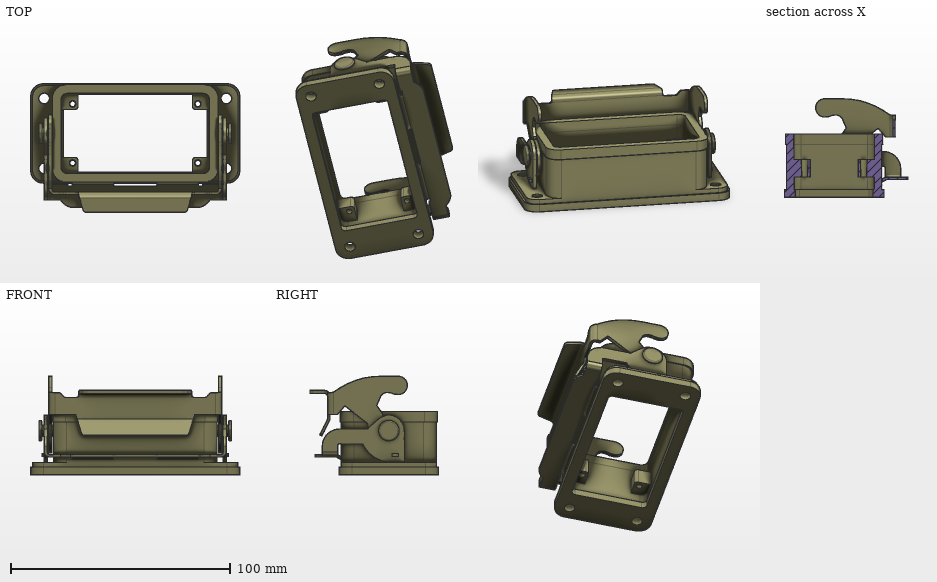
import cadquery as cq
import math

flange_length = 95.5
flange_width = 45.5
flange_height = 3.5
corner_radius = 6.0
step_inset = 1.0
step_top = 5.6
body_length = 74.7
body_width = 43.55
collar_length = 75.4
collar_width = 44.4
collar_bottom = 24.2
housing_top = 28.9

cavity_length = 67.8
cavity_width = 36.7
cavity_radius = 3.15
draft_run = 0.2
window_length = 65.3
window_width = 35.3
window_radius = 1.9
sill_height = flange_height
wall_middle_x = (cavity_length + body_length) / 4

post_inner_x = 26.1
post_inner_y = 10.9
post_bottom = 9.3
post_top = 17.3
post_radius = 1.4
post_hole_x = 28.6
post_hole_y = 13.5
post_hole_top_diameter = 3.1
post_hole_bottom_diameter = 2.5

mount_hole_x = 41.5
mount_hole_y = 15.95
mount_hole_diameter = 4.8

pivot_z = 20.15
rivet_radius = 2.6
rivet_head_radius = 4.7
rivet_head_thickness = 1.3
rivet_head_round = 0.6
rivet_end_x = 43.9

cheek_outer_x = 41.5
side_thickness = 1.5
cheek_back_y = 7.1
cheek_bottom = 5.8
cheek_corner_radius = 0.9
cheek_sweep_radius = 14.0
cheek_sweep_y = 1.0
arm_bottom = 14.1
arm_top = 20.9
arm_root_y = -9.9
leg_back_y = -23.2
leg_front_y = -30.4
leg_round = 7.9
leg_corner_radius = 0.7
plate_top = 9.2
plate_thickness = 1.1
plate_front_y = -33.7
bend_outer_radius = 2.8
bend_inner_radius = 1.2
apron_root_x = 34.1
apron_front_x = 29.6
apron_middle = (32.2, -32.4)
relief_depth = 0.9
relief_radius = 0.8
relief_outer_x = 30.75
tab_outer_x = 28.7
tab_inner_x = 9.8
tab_root_y = -23.9
tab_end_y = -22.0
tab_end_top = 8.5
tab_end_bottom = 7.1
peg_front_y = 1.4
peg_back_y = 4.4
peg_bottom = 8.4
peg_top = 9.7
peg_end_x = 42.5
peg_round = 0.6

lever_outer_x = 39.4
web_front_y = -27.9
web_thickness = 1.1
web_bottom = 27.4
web_top = 37.4
lever_top = 45.0
nose_radius = 4.2
nose_y = 4.3
back_arc_start_y = -4.0
back_arc_end_y = -22.0
back_arc_radius = 33.9
side_front_y = -25.2
side_front_z = 37.7
side_foot_y = -23.5
crotch_y = -20.1
crotch_z = 31.4
crotch_radius = 0.5
hub_neck_front_z = 23.2
hub_y = -1.1
hub_z = 18.3
hub_radius = 8.3
hub_neck_back_y = -2.9
hub_neck_top = 27.9
hook_tip = (-5.4, 31.6)
hook_back = (-3.7, 35.7)
hook_back_middle = (-2.4, 37.1)
hook_crown = (0.0, 37.4)
hook_front_middle = (1.1, 37.2)
hook_front = (2.3, 36.8)
notch_flare_x = 35.7
notch_outer_x = 34.2
notch_floor_x = 32.4
notch_inner_x = 25.8
notch_floor = 35.3
notch_radius = 1.1
upper_flap_top = 38.6
upper_flap_thickness = 1.5
upper_flap_front_y = -36.0
upper_flap_tip_x = 23.6
lower_flap_root_x = 27.1
lower_flap_tip_x = 24.1
lower_flap_bend_z = 25.5
lower_flap_tip_y = -31.5
lower_flap_tip_z = 18.2
upper_fold_inner_radius = 1.6
upper_fold_outer_radius = 2.8
flap_corner_radius = 1.7


def block(length, width, bottom, top, radius):
    """Centred block with rounded upright edges."""
    height = top - bottom
    solid = cq.Workplane("XY").workplane(offset=bottom).rect(length, width).extrude(height)
    return solid.edges("|Z").fillet(radius)


def along_x(outline, x_start, x_end):
    """Extrude a closed YZ outline from x_start to x_end."""
    return outline.extrude(x_end - x_start).translate((x_start, 0, 0))


def both_ends(solid):
    """Add the mirror image on the +X end."""
    return solid.union(solid.mirror("YZ"))


def make_housing():
    flange = block(flange_length, flange_width, 0, flange_height, corner_radius)
    step = block(flange_length - 2 * step_inset, body_width, 0, step_top, corner_radius - step_inset)
    body = block(body_length, body_width, 0, housing_top, corner_radius)
    collar = block(collar_length, collar_width, collar_bottom, housing_top, corner_radius)
    housing = flange.union(step).union(body).union(collar)

    upper = block(cavity_length, cavity_width, collar_bottom, housing_top, cavity_radius)
    depth = collar_bottom - sill_height
    draft_angle = math.degrees(math.atan(draft_run / depth))
    lower = upper.faces("<Z").wires().toPending().workplane(origin=(0, 0, collar_bottom))
    lower = lower.extrude(depth, taper=draft_angle, combine=False)
    window = block(window_length, window_width, 0, sill_height, window_radius)
    housing = housing.cut(upper).cut(lower).cut(window)

    mount_holes = (
        cq.Workplane("XY")
        .rect(2 * mount_hole_x, 2 * mount_hole_y, forConstruction=True)
        .vertices()
        .circle(mount_hole_diameter / 2)
        .extrude(step_top)
    )
    housing = housing.cut(mount_holes)
    for x_side in (-1, 1):
        for y_side in (-1, 1):
            housing = housing.union(make_post(x_side, y_side))
    return housing


def make_post(x_side, y_side):
    """Screw post standing off one cavity corner, buried into both walls."""
    outer_x = wall_middle_x
    outer_y = (cavity_width + body_width) / 4
    post = (
        cq.Workplane("XY")
        .box(outer_x - post_inner_x, outer_y - post_inner_y, post_top - post_bottom, centered=False)
        .translate((post_inner_x, post_inner_y, post_bottom))
        .edges("|Z and <X and <Y")
        .fillet(post_radius)
    )
    post = post.edges("|Z and >X and >Y").fillet(cavity_radius)
    screw_hole = (
        cq.Workplane("XY")
        .workplane(offset=post_bottom)
        .center(post_hole_x, post_hole_y)
        .circle(post_hole_bottom_diameter / 2)
        .workplane(offset=post_top - post_bottom)
        .circle(post_hole_top_diameter / 2)
        .loft()
    )
    post = post.cut(screw_hole)
    if x_side < 0:
        post = post.mirror("YZ")
    if y_side < 0:
        post = post.mirror("XZ")
    return post


def make_rivets():
    shank = cq.Workplane("YZ").center(0, pivot_z).circle(rivet_radius)
    shank = along_x(shank, -rivet_end_x + rivet_head_round, -wall_middle_x)
    head = cq.Workplane("YZ").center(0, pivot_z).circle(rivet_head_radius)
    head = along_x(head, -rivet_end_x, -rivet_end_x + rivet_head_thickness)
    head = head.edges().fillet(rivet_head_round)
    return both_ends(shank.union(head))


def cheek_outline():
    """YZ outline of the cheek, its arm and the leg, down to the cheek bottom."""
    root_distance = math.hypot(arm_root_y, arm_top - pivot_z)
    root_angle = math.atan2(arm_top - pivot_z, arm_root_y)
    tangent_angle = root_angle - math.acos(cheek_back_y / root_distance)
    tangent = (cheek_back_y * math.cos(tangent_angle), pivot_z + cheek_back_y * math.sin(tangent_angle))
    leg_centre = (leg_front_y + leg_round, arm_top - leg_round)
    sweep_z = cheek_bottom + cheek_sweep_radius
    sweep_drop = sweep_z - arm_bottom
    sweep_y = cheek_sweep_y - math.sqrt(cheek_sweep_radius**2 - sweep_drop**2)
    half = math.sqrt(0.5)
    sweep_middle_angle = (math.asin(sweep_drop / cheek_sweep_radius) + math.pi / 2) / 2
    sweep_middle = (
        cheek_sweep_y - cheek_sweep_radius * math.cos(sweep_middle_angle),
        sweep_z - cheek_sweep_radius * math.sin(sweep_middle_angle),
    )
    return (
        cq.Workplane("YZ")
        .moveTo(cheek_back_y, cheek_bottom)
        .lineTo(cheek_back_y, pivot_z)
        .threePointArc((0, pivot_z + cheek_back_y), tangent)
        .lineTo(arm_root_y, arm_top)
        .lineTo(leg_centre[0], arm_top)
        .threePointArc(
            (leg_centre[0] - leg_round * half, leg_centre[1] + leg_round * half),
            (leg_front_y, leg_centre[1]),
        )
        .lineTo(leg_front_y, cheek_bottom)
        .lineTo(leg_back_y, cheek_bottom)
        .lineTo(leg_back_y, arm_bottom)
        .lineTo(sweep_y, arm_bottom)
        .threePointArc(sweep_middle, (cheek_sweep_y, cheek_bottom))
        .close()
    )


def make_bracket():
    plate_bottom = plate_top - plate_thickness
    cheek_inner_x = cheek_outer_x - side_thickness
    cheek = along_x(cheek_outline(), -cheek_outer_x, -cheek_inner_x)
    cheek = cheek.edges("|X and >Y and <Z").fillet(cheek_corner_radius)
    cheek_middle_x = (cheek_outer_x + cheek_inner_x) / 2
    arm_corner = cq.selectors.NearestToPointSelector((-cheek_middle_x, leg_back_y, arm_bottom))
    cheek = cheek.edges(arm_corner).fillet(leg_corner_radius)
    leg_depth = leg_back_y - leg_front_y
    leg_foot = (
        cq.Workplane("XY")
        .box(side_thickness, leg_depth, plate_top + bend_inner_radius - cheek_bottom, centered=False)
        .translate((-cheek_outer_x, leg_front_y, cheek_bottom))
    )
    cheeks = both_ends(cheek.cut(leg_foot))

    strip_height = pivot_z - plate_bottom
    strip_outer = (
        cq.Workplane("XY")
        .box(2 * cheek_outer_x, leg_depth, strip_height, centered=(True, False, False))
        .translate((0, leg_front_y, plate_bottom))
        .edges("|Y and <Z")
        .fillet(bend_outer_radius)
    )
    strip_inner = (
        cq.Workplane("XY")
        .box(2 * cheek_inner_x, leg_depth, strip_height, centered=(True, False, False))
        .translate((0, leg_front_y, plate_top))
        .edges("|Y and <Z")
        .fillet(bend_inner_radius)
    )
    strip = strip_outer.cut(strip_inner)
    strip = strip.intersect(along_x(cheek_outline(), -cheek_outer_x, cheek_outer_x))

    apron = (
        cq.Workplane("XY")
        .workplane(offset=plate_bottom)
        .moveTo(-apron_root_x, leg_front_y)
        .threePointArc((-apron_middle[0], apron_middle[1]), (-apron_front_x, plate_front_y))
        .lineTo(apron_front_x, plate_front_y)
        .threePointArc(apron_middle, (apron_root_x, leg_front_y))
        .close()
        .extrude(plate_thickness)
    )
    bracket = cheeks.union(strip).union(apron)

    relief_middles = (-(relief_outer_x + tab_outer_x) / 2, 0, (relief_outer_x + tab_outer_x) / 2)
    relief_lengths = (relief_outer_x - tab_outer_x, 2 * tab_inner_x, relief_outer_x - tab_outer_x)
    for middle, length in zip(relief_middles, relief_lengths):
        relief = (
            cq.Workplane("XY")
            .box(length, 2 * relief_depth, plate_top)
            .edges("|Z")
            .fillet(relief_radius)
            .translate((middle, leg_back_y, plate_top))
        )
        bracket = bracket.cut(relief)

    tab = cq.Workplane("YZ").polyline([
        (leg_back_y, plate_top),
        (tab_end_y, tab_end_top),
        (tab_end_y, tab_end_bottom),
        (tab_root_y, plate_bottom),
        (tab_root_y, plate_top),
    ]).close()
    bracket = bracket.union(both_ends(along_x(tab, -tab_outer_x, -tab_inner_x)))

    peg = (
        cq.Workplane("XY")
        .box(peg_end_x - cheek_inner_x, peg_back_y - peg_front_y, peg_top - peg_bottom, centered=False)
        .translate((-peg_end_x, peg_front_y, peg_bottom))
        .edges("|Z and <X")
        .fillet(peg_round)
    )
    return bracket.union(both_ends(peg))


def lever_side_outline():
    """YZ outline of a hooked side plate, without its round hub."""
    nose_z = lever_top - nose_radius
    arc_run = back_arc_start_y - back_arc_end_y
    arc_z = lever_top - back_arc_radius

    def back_arc(run):
        return (back_arc_start_y - run, arc_z + math.sqrt(back_arc_radius**2 - run**2))

    return (
        cq.Workplane("YZ")
        .moveTo(nose_y, lever_top)
        .lineTo(back_arc_start_y, lever_top)
        .threePointArc(back_arc(arc_run / 2), back_arc(arc_run))
        .lineTo(side_front_y, side_front_z)
        .lineTo(web_front_y + web_thickness, web_top)
        .lineTo(web_front_y, web_top)
        .lineTo(web_front_y, web_bottom)
        .lineTo(side_foot_y, web_bottom)
        .lineTo(crotch_y, crotch_z)
        .lineTo(hub_y - hub_radius, hub_neck_front_z)
        .lineTo(hub_y - hub_radius, hub_z)
        .lineTo(hub_neck_back_y, hub_z)
        .lineTo(hub_neck_back_y, hub_neck_top)
        .lineTo(*hook_tip)
        .lineTo(*hook_back)
        .threePointArc(hook_back_middle, hook_crown)
        .threePointArc(hook_front_middle, hook_front)
        .lineTo(nose_y, nose_z - nose_radius)
        .threePointArc((nose_y + nose_radius, nose_z), (nose_y, lever_top))
        .close()
    )


def make_lever():
    lever_inner_x = lever_outer_x - side_thickness
    depth = 2 * (nose_y - web_front_y)
    outer = (
        cq.Workplane("XY")
        .box(2 * lever_outer_x, depth, lever_top, centered=(True, False, False))
        .translate((0, web_front_y, 0))
        .edges("|Z and <Y")
        .fillet(bend_outer_radius)
    )
    inner = (
        cq.Workplane("XY")
        .box(2 * lever_inner_x, depth, lever_top, centered=(True, False, False))
        .translate((0, web_front_y + web_thickness, 0))
        .edges("|Z and <Y")
        .fillet(bend_inner_radius)
    )
    sides = along_x(lever_side_outline(), -lever_outer_x, lever_outer_x)
    crotch = cq.selectors.NearestToPointSelector((0, crotch_y, crotch_z))
    sides = sides.edges(crotch).fillet(crotch_radius)
    hub = along_x(cq.Workplane("YZ").center(hub_y, hub_z).circle(hub_radius), -lever_outer_x, lever_outer_x)
    lever = outer.cut(inner).intersect(sides.union(hub))

    notch = (
        cq.Workplane("XZ")
        .polyline([
            (-notch_flare_x, lever_top),
            (-notch_flare_x, web_top),
            (-notch_outer_x, web_top),
            (-notch_floor_x, notch_floor),
            (-notch_inner_x, notch_floor),
            (-notch_inner_x, lever_top),
        ])
        .close()
        .extrude(2 * web_thickness)
        .translate((0, web_front_y + 2 * web_thickness, 0))
    )
    for corner_x, corner_z in (
        (notch_outer_x, web_top),
        (notch_floor_x, notch_floor),
        (notch_inner_x, notch_floor),
    ):
        corner = cq.selectors.NearestToPointSelector((-corner_x, web_front_y + web_thickness, corner_z))
        notch = notch.edges(corner).fillet(notch_radius)
    fold_gap = (
        cq.Workplane("XY")
        .box(2 * notch_inner_x, 2 * web_thickness, lever_top - notch_floor, centered=(True, True, False))
        .translate((0, web_front_y + web_thickness / 2, notch_floor))
    )
    lever = lever.cut(both_ends(notch)).cut(fold_gap)
    return lever.union(make_upper_flap()).union(make_lower_flap())


def make_upper_flap():
    """Flap folded forward from the top of the web."""
    under = upper_flap_top - upper_flap_thickness
    web_back_y = web_front_y + web_thickness
    section = cq.Workplane("YZ").polyline([
        (web_back_y, notch_floor),
        (web_back_y, upper_flap_top),
        (upper_flap_front_y, upper_flap_top),
        (upper_flap_front_y, under),
        (web_front_y, under),
        (web_front_y, notch_floor),
    ]).close()
    flap = along_x(section, -notch_inner_x, notch_inner_x)
    flap = flap.edges("|X and >Z and >Y").fillet(upper_fold_outer_radius)
    fold = cq.selectors.NearestToPointSelector((0, web_front_y, under))
    flap = flap.edges(fold).fillet(upper_fold_inner_radius)
    plan = (
        cq.Workplane("XY")
        .polyline([
            (-notch_inner_x, web_back_y),
            (-notch_inner_x, web_front_y),
            (-upper_flap_tip_x, upper_flap_front_y),
            (upper_flap_tip_x, upper_flap_front_y),
            (notch_inner_x, web_front_y),
            (notch_inner_x, web_back_y),
        ])
        .close()
        .extrude(lever_top)
        .edges("|Z and <Y")
        .fillet(flap_corner_radius)
    )
    return flap.intersect(plan)


def make_lower_flap():
    """Flap sloping forward and down from the bottom of the web."""
    web_back_y = web_front_y + web_thickness
    tip_run = web_front_y - lower_flap_tip_y
    tip_drop = lower_flap_bend_z - lower_flap_tip_z
    slope = math.atan2(tip_run, tip_drop)
    back_tip = (
        lower_flap_tip_y + web_thickness * math.cos(slope),
        lower_flap_tip_z - web_thickness * math.sin(slope),
    )
    section = cq.Workplane("YZ").polyline([
        (web_front_y, web_bottom),
        (web_front_y, lower_flap_bend_z),
        (lower_flap_tip_y, lower_flap_tip_z),
        back_tip,
        (web_back_y, lower_flap_bend_z - web_thickness * math.tan(slope / 2)),
        (web_back_y, web_bottom),
    ]).close()
    flap = along_x(section, -lower_flap_root_x, lower_flap_root_x)
    front = (
        cq.Workplane("XZ")
        .polyline([
            (-lower_flap_root_x, web_bottom),
            (-lower_flap_tip_x, back_tip[1]),
            (lower_flap_tip_x, back_tip[1]),
            (lower_flap_root_x, web_bottom),
        ])
        .close()
        .extrude(-upper_flap_front_y)
        .edges("|Y and <Z")
        .fillet(flap_corner_radius)
    )
    return flap.intersect(front)


result = make_housing().union(make_rivets()).union(make_bracket()).union(make_lever())